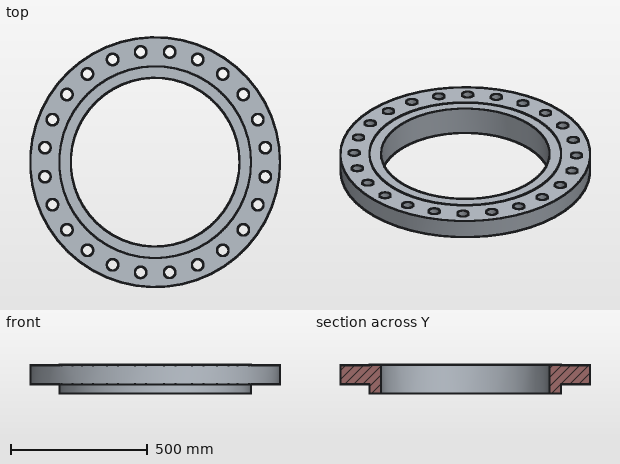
import cadquery as cq

flange_diameter = 914.0
flange_thickness = 70.0

face_diameter = 701.0
face_height = 2.0
hub_diameter = face_diameter
total_height = 106.0
hub_height = total_height - flange_thickness - face_height

bore_diameter = 616.0

bolt_count = 24
bolt_circle_diameter = 813.0
bolt_hole_diameter = 41.0
bolt_pitch_angle = 360.0 / bolt_count


def disc(diameter, height, base_z):
    return cq.Workplane("XY").workplane(offset=base_z).circle(diameter / 2).extrude(height)


def bolt_holes():
    return (
        cq.Workplane("XY")
        .polarArray(bolt_circle_diameter / 2, bolt_pitch_angle / 2, 360, bolt_count)
        .circle(bolt_hole_diameter / 2)
        .extrude(total_height)
    )


hub = disc(hub_diameter, hub_height, 0)
plate = disc(flange_diameter, flange_thickness, hub_height)
raised_face = disc(face_diameter, face_height, hub_height + flange_thickness)
body = hub.union(plate).union(raised_face)

bore = disc(bore_diameter, total_height, 0)
result = body.cut(bore).cut(bolt_holes())